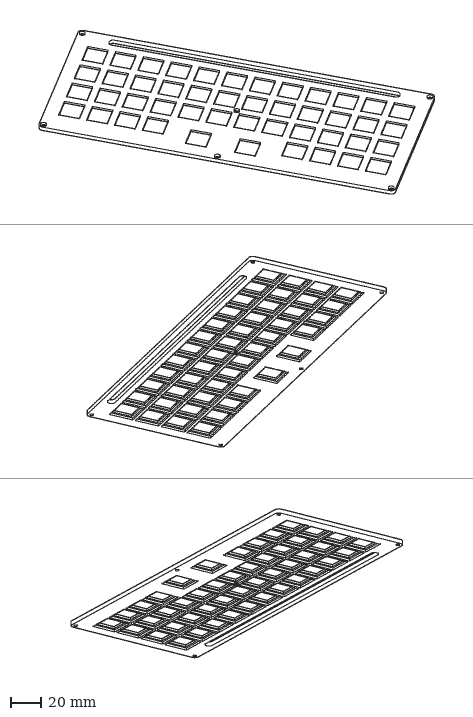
import cadquery as cq

length = 243.5
width = 100.8
lip_thickness = 1.5
pocket_depth = 1.49
thickness = lip_thickness + pocket_depth
corner_radius = thickness

pocket_size = 17.0
lip_overhang = 1.53
key_size = pocket_size - 2 * lip_overhang
columns = 12
rows = 4
outer_column_spacing = 209.5
key_pitch = outer_column_spacing / (columns - 1)
bottom_row_side_keys = 4

thumb_x = 16.8
thumb_y = -33.5

slot_length = 198.7
slot_width = 5.0
slot_y = 43.8

screw_diameter = 2.3
head_diameter = 4.0
head_depth = 2.0
corner_x = length / 2 - corner_radius
corner_y = width / 2 - corner_radius


def key_positions():
    """Centres of all key openings, including the two thumb keys."""
    positions = [(-thumb_x, thumb_y), (thumb_x, thumb_y)]
    for row in range(rows):
        for column in range(columns):
            keys_from_end = min(column, columns - 1 - column)
            if row == 0 and keys_from_end >= bottom_row_side_keys:
                continue
            x = (column - (columns - 1) / 2) * key_pitch
            y = (row - (rows - 1) / 2) * key_pitch
            positions.append((x, y))
    return positions


def screw_positions():
    """Four corners, the plate centre and the middle of the front edge."""
    corners = [(x, y) for x in (-corner_x, corner_x) for y in (-corner_y, corner_y)]
    return corners + [(0, 0), (0, -corner_y)]


plate = (
    cq.Workplane("XY")
    .rect(length, width)
    .extrude(thickness)
    .edges("|Z")
    .fillet(corner_radius)
)

key_layout = cq.Workplane("XY").pushPoints(key_positions())
openings = key_layout.rect(key_size, key_size).extrude(thickness)
pockets = key_layout.rect(pocket_size, pocket_size).extrude(pocket_depth)
slot = cq.Workplane("XY").center(0, slot_y).slot2D(slot_length, slot_width).extrude(thickness)

result = (
    plate.cut(openings)
    .cut(pockets)
    .cut(slot)
    .faces(">Z")
    .workplane(origin=(0, 0))
    .pushPoints(screw_positions())
    .cboreHole(screw_diameter, head_diameter, head_depth)
)